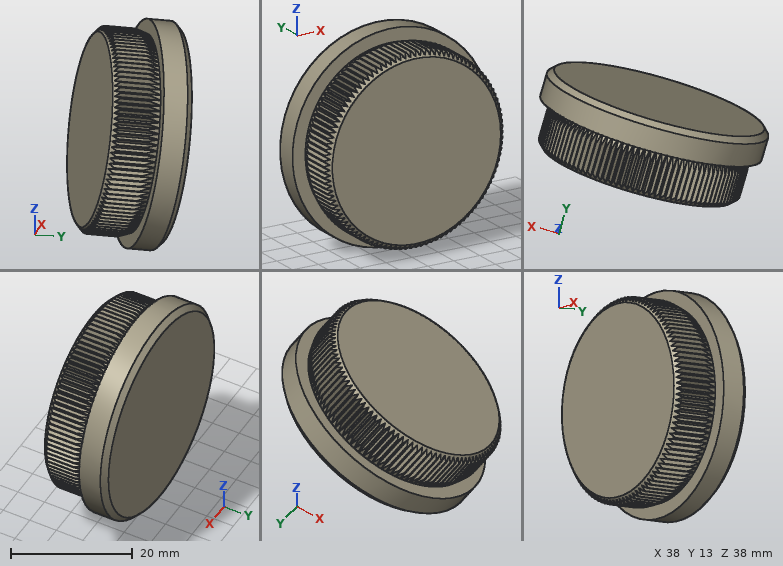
import cadquery as cq
import math


flange_radius = 19.0
flange_thickness = 4.98
flange_chamfer = 1.0

spigot_length = 8.0
spigot_radius = 17.2
spigot_chamfer = 1.03
neck_radius = 16.53
neck_length = 2.0

tooth_count = 110
groove_depth = 0.72
groove_angle = 60.0


def revolved(outline):
    """Turn an outline of (radius, y) points around the Y axis."""
    return (
        cq.Workplane("XY")
        .polyline(outline)
        .close()
        .revolve(360, (0, 0, 0), (0, 1, 0))
    )


def flange():
    """Disc with a chamfer around its outer (+Y) face."""
    return revolved([
        (0, 0),
        (flange_radius, 0),
        (flange_radius, flange_thickness - flange_chamfer),
        (flange_radius - flange_chamfer, flange_thickness),
        (0, flange_thickness),
    ])


def spigot_blank():
    """Smooth spigot: tapered neck at the flange, chamfer at the free end."""
    return revolved([
        (0, 0),
        (neck_radius, 0),
        (spigot_radius, -neck_length),
        (spigot_radius, -spigot_length + spigot_chamfer),
        (spigot_radius - spigot_chamfer, -spigot_length),
        (0, -spigot_length),
    ])


def toothed_bar():
    """Straight bar with the knurl cross-section, as long as the spigot."""
    root_radius = spigot_radius - groove_depth
    groove_half_width = groove_depth * math.tan(math.radians(groove_angle / 2))
    groove_half_turn = math.asin(groove_half_width / spigot_radius)
    pitch = 2 * math.pi / tooth_count

    def rim_point(radius, turn):
        return (radius * math.sin(turn), radius * math.cos(turn))

    outline = []
    for groove in range(tooth_count):
        turn = groove * pitch
        outline.append(rim_point(spigot_radius, turn - groove_half_turn))
        outline.append(rim_point(root_radius, turn))
        outline.append(rim_point(spigot_radius, turn + groove_half_turn))
    return cq.Workplane("XZ").polyline(outline).close().extrude(spigot_length)


knurled_spigot = spigot_blank().intersect(toothed_bar())
result = flange().union(knurled_spigot)